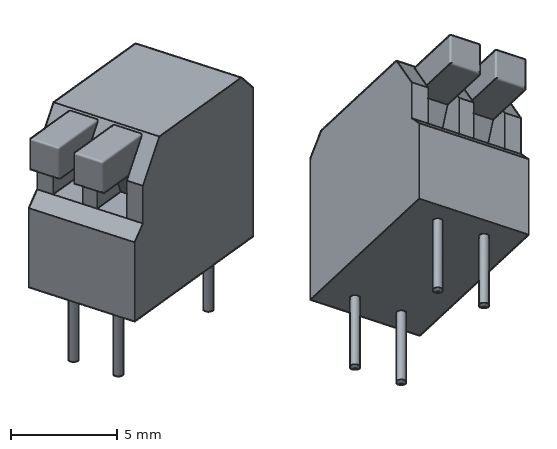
import cadquery as cq
import math

width = 6.0
height = 9.0
depth = 10.04
rear_chamfer = 1.0
slope_drop = 2.02
slope_setback = 2.09
wall_setback = 0.7
ledge_drop = 4.04
sill_drop = 4.73

switch_pitch = 2.5
lever_width = 1.69
lever_height = 1.7
lever_drop = 0.1
lever_reach = 1.31
lever_rounding = 0.1
slot_depth = 2.0
slot_back_angle = 23.0

pin_diameter = 0.5
pin_length = 4.0
pin_pitch_x = 2.54
pin_pitch_y = 7.62
rear_pin_inset = 1.21
pin_tip_height = 0.1
pin_tip_radius = 0.08

sill_edge_z = height - ledge_drop
lever_top_z = height - lever_drop
lever_bottom_z = lever_top_z - lever_height
slope_foot_z = height - slope_drop


def extrude_profile(points, x_center, length):
    """Extrude an outline in the YZ plane, centred on x_center."""
    return (
        cq.Workplane("YZ", origin=(x_center - length / 2, 0, 0))
        .polyline(points)
        .close()
        .extrude(length)
    )


def make_housing():
    outline = [
        (0, 0),
        (0, height - sill_drop),
        (wall_setback, sill_edge_z),
        (wall_setback, slope_foot_z),
        (slope_setback, height),
        (depth - rear_chamfer, height),
        (depth, height - rear_chamfer),
        (depth, 0),
    ]
    return extrude_profile(outline, 0, width)


def make_slot(x_center):
    """Recess under a lever: flat floor at the sill edge, back leaning forward to the lever underside."""
    slot_height = lever_bottom_z - sill_edge_z
    floor_end_y = wall_setback + slot_depth
    ceiling_end_y = floor_end_y - slot_height * math.tan(math.radians(slot_back_angle))
    outline = [
        (0, sill_edge_z),
        (floor_end_y, sill_edge_z),
        (ceiling_end_y, lever_bottom_z),
        (0, lever_bottom_z),
    ]
    return extrude_profile(outline, x_center, lever_width)


def make_lever(x_center):
    """Square bar, rounded on its front face and along its top, rooted in the housing."""
    root_y = slope_setback + lever_rounding
    bar = cq.Workplane("XY").box(
        lever_width, root_y + lever_reach, lever_height, centered=(True, False, False)
    )
    bar = bar.edges("<Y or (|Y and >Z)").fillet(lever_rounding)
    return bar.translate((x_center, -lever_reach, lever_bottom_z))


def make_pin(x, y):
    """Round pin hanging from the housing floor, ending in a blunt cone."""
    shank_length = pin_length - pin_tip_height
    shank = cq.Workplane("XY", origin=(x, y, 0)).circle(pin_diameter / 2).extrude(-shank_length)
    return (
        shank.faces("<Z")
        .workplane()
        .circle(pin_diameter / 2)
        .workplane(offset=pin_tip_height)
        .circle(pin_tip_radius)
        .loft()
    )


result = make_housing()
for side in (-1, 1):
    switch_x = side * switch_pitch / 2
    result = result.cut(make_slot(switch_x))
    result = result.union(make_lever(switch_x))

rear_pin_y = depth - rear_pin_inset
for side in (-1, 1):
    for pin_y in (rear_pin_y, rear_pin_y - pin_pitch_y):
        result = result.union(make_pin(side * pin_pitch_x / 2, pin_y))